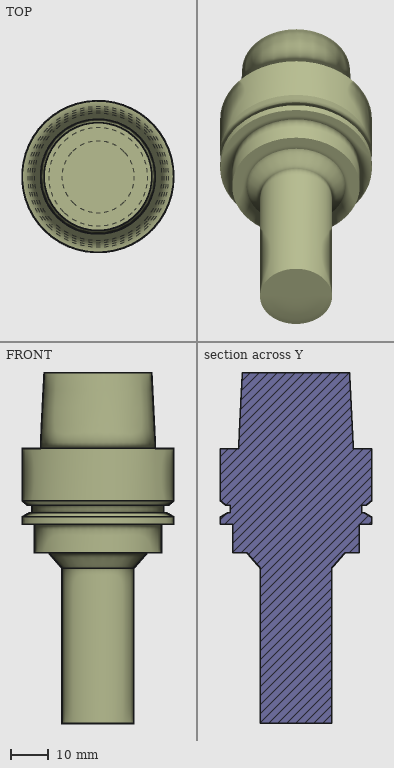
import cadquery as cq

head_length = 20.0
flange_length = 20.0
overall_length = 92.5

head_tip_diameter = 28.4
seat_diameter = 30.25
seat_length = 1.4

flange_diameter = 40.0
groove_diameter = 34.8
upper_rim_length = 13.8
upper_chamfer_width = 1.45
upper_chamfer_height = 1.2
groove_floor_length = 1.9
lower_chamfer_width = 2.0
lower_chamfer_height = 1.15

neck_diameter = 33.6
neck_length = 7.5
cone_large_diameter = 26.0
cone_length = 4.0
shank_diameter = 19.0

head_top_z = head_length
shank_bottom_z = head_top_z - overall_length
flange_bottom_z = -flange_length
upper_rim_bottom_z = -upper_rim_length
groove_top_z = upper_rim_bottom_z - upper_chamfer_height
groove_bottom_z = groove_top_z - groove_floor_length
lower_rim_top_z = groove_bottom_z - lower_chamfer_height
neck_bottom_z = flange_bottom_z - neck_length
cone_bottom_z = neck_bottom_z - cone_length

head_tip_radius = head_tip_diameter / 2
seat_radius = seat_diameter / 2
flange_radius = flange_diameter / 2
groove_radius = groove_diameter / 2
neck_radius = neck_diameter / 2
cone_large_radius = cone_large_diameter / 2
shank_radius = shank_diameter / 2


def turned_profile():
    """Half section in the XZ plane, from the head's tip down to the shank's end."""
    to_flange = (
        cq.Workplane("XZ")
        .moveTo(0, head_top_z)
        .lineTo(head_tip_radius, head_top_z)
        .lineTo(seat_radius, seat_length)
        .lineTo(seat_radius, 0)
        .lineTo(flange_radius, 0)
    )
    to_neck = (
        to_flange
        .lineTo(flange_radius, upper_rim_bottom_z)
        .lineTo(flange_radius - upper_chamfer_width, groove_top_z)
        .lineTo(groove_radius, groove_top_z)
        .lineTo(groove_radius, groove_bottom_z)
        .lineTo(flange_radius - lower_chamfer_width, groove_bottom_z)
        .lineTo(flange_radius, lower_rim_top_z)
        .lineTo(flange_radius, flange_bottom_z)
        .lineTo(neck_radius, flange_bottom_z)
    )
    to_shank_end = (
        to_neck
        .lineTo(neck_radius, neck_bottom_z)
        .lineTo(cone_large_radius, neck_bottom_z)
        .lineTo(shank_radius, cone_bottom_z)
        .lineTo(shank_radius, shank_bottom_z)
        .lineTo(0, shank_bottom_z)
    )
    return to_shank_end.close()


result = turned_profile().revolve(360, (0, 0, 0), (0, 1, 0))